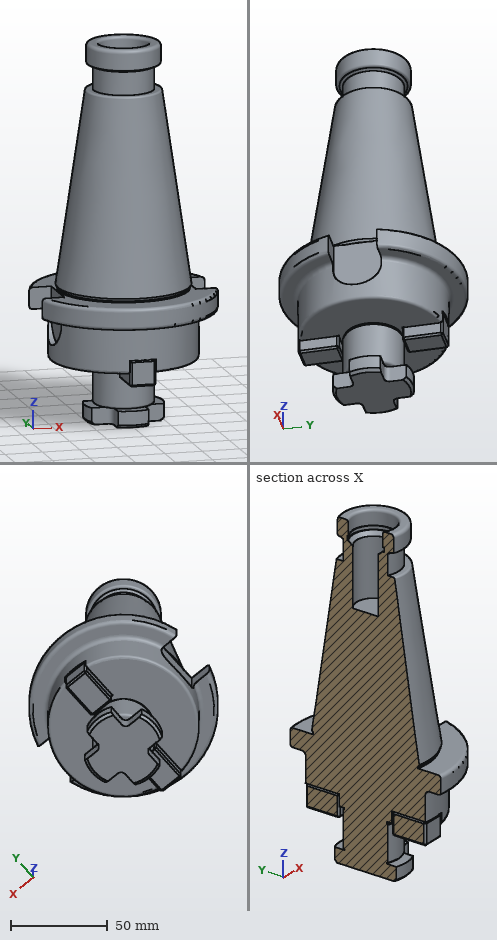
import cadquery as cq

total_height = 199.8
screw_head_height = 9.0
body_bottom = 33.0
flange_bottom = 58.1
flange_top = 69.7
cone_bottom = 72.0
cone_top = 175.2
collar_bottom = 188.6

screw_head_radius = 21.0
spigot_radius = 16.0
body_radius = 39.0
flange_radius = 48.8
cone_base_radius = 35.2
cone_taper = 7 / 24
cone_top_radius = cone_base_radius - cone_taper / 2 * (cone_top - cone_bottom)
cone_relief_radius = 34.4
spigot_relief_radius = 15.4
neck_radius = 16.0
collar_radius = 19.4

edge_round = 2.0
flange_root_round = 2.4
body_edge_round = 1.5
spigot_edge_round = 1.4
cone_relief_slope = 1.4
spigot_relief_height = 0.8
spigot_relief_slope = 0.5
cone_edge_round = 1.2
collar_edge_round = 1.2
collar_root_width = 1.5
collar_root_height = 1.0

bore_radius = 13.0
bore_mouth_round = 1.5
bore_depth = 9.4
groove_radius = 13.5
groove_width = 2.4
countersink_radius = bore_radius
thread_radius = 10.5
thread_floor_depth = 50.0

drive_slot_width = 25.8
drive_slot_floor = 35.2
drive_slot_bottom = 42.0

key_width = 14.0
key_height = 14.0
key_bottom = 26.0
key_inner = 16.8
key_outer = 38.4
key_chamfer = 1.0

cross_arm_width = 16.4
cross_corner_round = 2.8
screw_head_chamfer = 1.5


def make_turned_body():
    """Spigot, body, flange, taper, neck and collar as one revolved profile."""
    spigot_relief_bottom = body_bottom - spigot_relief_height - spigot_relief_slope
    profile = (
        cq.Workplane("XZ")
        .moveTo(0, screw_head_height)
        .lineTo(spigot_radius - spigot_edge_round, screw_head_height)
        .radiusArc((spigot_radius, screw_head_height + spigot_edge_round), -spigot_edge_round)
        .lineTo(spigot_radius, spigot_relief_bottom)
        .lineTo(spigot_relief_radius, spigot_relief_bottom + spigot_relief_slope)
        .lineTo(spigot_relief_radius, body_bottom)
        .lineTo(body_radius - body_edge_round, body_bottom)
        .radiusArc((body_radius, body_bottom + body_edge_round), -body_edge_round)
        .lineTo(body_radius, flange_bottom - flange_root_round)
        .radiusArc((body_radius + flange_root_round, flange_bottom), flange_root_round)
        .lineTo(flange_radius - edge_round, flange_bottom)
        .radiusArc((flange_radius, flange_bottom + edge_round), -edge_round)
        .lineTo(flange_radius, flange_top - edge_round)
        .radiusArc((flange_radius - edge_round, flange_top), -edge_round)
        .lineTo(cone_relief_radius, flange_top)
        .lineTo(cone_relief_radius, cone_bottom - cone_relief_slope)
        .lineTo(cone_base_radius, cone_bottom)
        .lineTo(cone_top_radius, cone_top - cone_edge_round)
        .radiusArc((cone_top_radius - cone_edge_round, cone_top), -cone_edge_round)
        .lineTo(neck_radius, cone_top)
        .lineTo(neck_radius, collar_bottom - collar_root_height)
        .lineTo(neck_radius + collar_root_width, collar_bottom)
        .lineTo(collar_radius - collar_edge_round, collar_bottom)
        .radiusArc((collar_radius, collar_bottom + collar_edge_round), -collar_edge_round)
        .lineTo(collar_radius, total_height - edge_round)
        .radiusArc((collar_radius - edge_round, total_height), -edge_round)
        .lineTo(0, total_height)
        .close()
    )
    return profile.revolve(360, (0, 0, 0), (0, 1, 0))


def make_drawbar_hole():
    """Blind hole with a rounded mouth, a grooved bore and a 45-degree countersink."""
    groove_top = total_height - bore_depth
    groove_bottom = groove_top - groove_width
    countersink_bottom = groove_bottom - (countersink_radius - thread_radius)
    profile = (
        cq.Workplane("XZ")
        .moveTo(0, total_height)
        .lineTo(bore_radius + bore_mouth_round, total_height)
        .radiusArc((bore_radius, total_height - bore_mouth_round), -bore_mouth_round)
        .lineTo(bore_radius, groove_top)
        .lineTo(groove_radius, groove_top)
        .lineTo(groove_radius, groove_bottom)
        .lineTo(countersink_radius, groove_bottom)
        .lineTo(thread_radius, countersink_bottom)
        .lineTo(thread_radius, total_height - thread_floor_depth)
        .lineTo(0, total_height - thread_floor_depth)
        .close()
    )
    return profile.revolve(360, (0, 0, 0), (0, 1, 0))


def make_drive_slot():
    """Round-bottomed slot cutter on the +X side, open at the flange top."""
    half_width = drive_slot_width / 2
    arc_center_z = drive_slot_bottom + half_width
    return (
        cq.Workplane("YZ", origin=(drive_slot_floor, 0, 0))
        .moveTo(-half_width, cone_bottom)
        .lineTo(-half_width, arc_center_z)
        .threePointArc((0, drive_slot_bottom), (half_width, arc_center_z))
        .lineTo(half_width, cone_bottom)
        .close()
        .extrude(flange_radius)
    )


def make_key_block(outer):
    """Block on the +Y side from the key's inner end out to the given distance."""
    return (
        cq.Workplane("XY", origin=(0, key_inner, key_bottom))
        .box(key_width, outer - key_inner, key_height, centered=(True, False, False))
    )


def make_screw_head():
    """Round head cut to a cross, with rounded inner corners."""
    disc = (
        cq.Workplane("XY")
        .circle(screw_head_radius)
        .extrude(screw_head_height)
        .faces("<Z")
        .chamfer(screw_head_chamfer)
    )
    arm_length = 3 * screw_head_radius
    arm_x = cq.Workplane("XY").rect(arm_length, cross_arm_width).extrude(screw_head_height)
    arm_y = cq.Workplane("XY").rect(cross_arm_width, arm_length).extrude(screw_head_height)
    inner_corners = cq.selectors.BoxSelector(
        (-cross_arm_width, -cross_arm_width, 0),
        (cross_arm_width, cross_arm_width, screw_head_height),
    )
    cross = arm_x.union(arm_y).edges("|Z").edges(inner_corners).fillet(cross_corner_round)
    return disc.intersect(cross)


result = make_turned_body().cut(make_drawbar_hole())

drive_slot = make_drive_slot()
key_seat = make_key_block(flange_radius)
drive_key = make_key_block(key_outer).edges().chamfer(key_chamfer)
for side_angle in (0, 180):
    result = result.cut(drive_slot.rotate((0, 0, 0), (0, 0, 1), side_angle))
    result = result.cut(key_seat.rotate((0, 0, 0), (0, 0, 1), side_angle))
    result = result.union(drive_key.rotate((0, 0, 0), (0, 0, 1), side_angle))

result = result.union(make_screw_head())